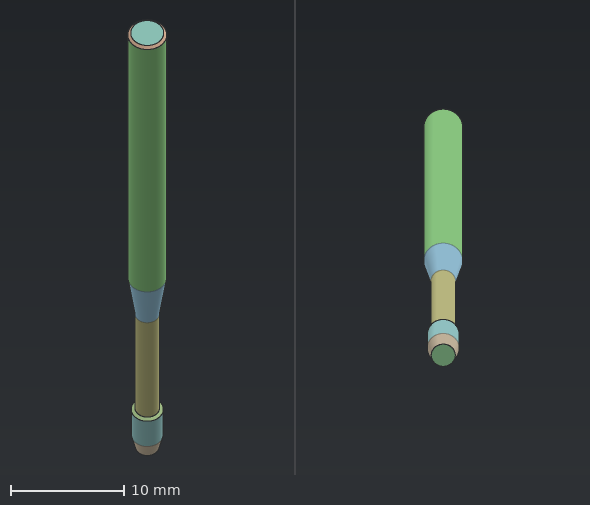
import cadquery as cq

total_length = 56.0

head_diameter = 2.85
tip_diameter = 2.1
tip_height = 1.7
head_height = 5.25
shoulder_height = 0.15

neck_diameter = 2.2
neck_top = 18.05
cone_top = 22.95
shank_diameter = 3.5
end_chamfer_width = 0.3
end_chamfer_height = 0.2


def turned_body(outer_profile):
    """Revolve (radius, height) points, closed along the Z axis, into a solid."""
    bottom = outer_profile[0][1]
    top = outer_profile[-1][1]
    outline = [(0, bottom), *outer_profile, (0, top)]
    return cq.Workplane("XZ").polyline(outline).close().revolve(360, (0, 0), (0, 1))


def make_cutting_head():
    """Cylindrical head that tapers to a flat tip below and slopes in to the neck above."""
    return turned_body([
        (tip_diameter / 2, 0),
        (head_diameter / 2, tip_height),
        (head_diameter / 2, head_height - shoulder_height),
        (neck_diameter / 2, head_height),
    ])


def make_shank():
    """Slim neck seated on the head, widening through a cone to a chamfered shank."""
    shank_radius = shank_diameter / 2
    return turned_body([
        (neck_diameter / 2, head_height),
        (neck_diameter / 2, neck_top),
        (shank_radius, cone_top),
        (shank_radius, total_length - end_chamfer_height),
        (shank_radius - end_chamfer_width, total_length),
    ])


cutting_head = make_cutting_head()
shank = make_shank()

result = cq.Compound.makeCompound([cutting_head.val(), shank.val()])